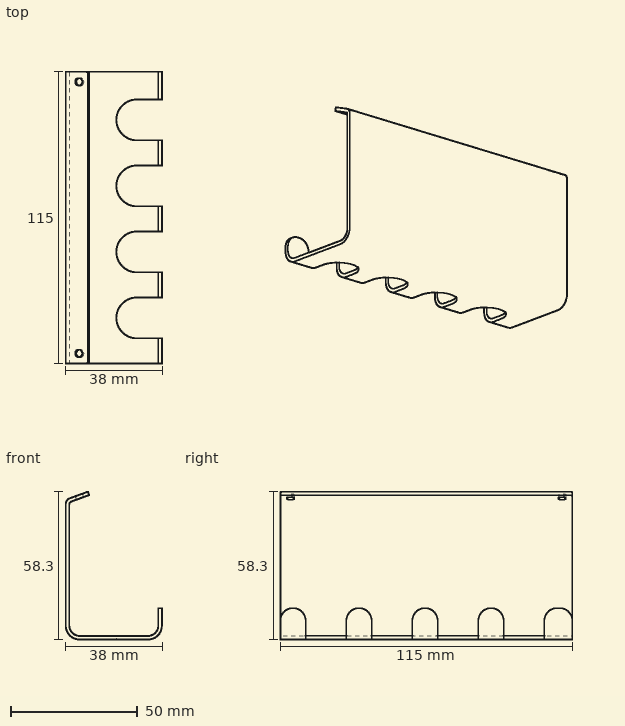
import cadquery as cq
import math

depth = 38.0
length = 115.0
height = 58.3
sheet = 1.5

floor_bend = 5.5
flange_bend = 2.5
flange_tilt = 20.0
flange_length = 7.6
flange_corner = 1.0

hook_height = 12.4
hook_width = 10.0
slot_width = 16.0
slot_count = 4
slot_start = 20.0

hole_diameter = 3.0
hole_from_bend = 3.7
hole_end_distance = 4.0

front_end = -length / 2
rear_end = length / 2
slot_pitch = slot_width + hook_width
first_slot = front_end + hook_width + slot_width / 2
slot_centers = [first_slot + i * slot_pitch for i in range(slot_count)]

tilt = math.radians(flange_tilt)
along = (math.cos(tilt), math.sin(tilt))
normal = (-math.sin(tilt), math.cos(tilt))
bend_x = flange_bend
bend_z = height - flange_bend * normal[1] - flange_length * along[1]


def flange_point(distance, radius):
    """XZ point along the flange, at a radius from the bend center."""
    return (
        bend_x + distance * along[0] + radius * normal[0],
        bend_z + distance * along[1] + radius * normal[1],
    )


def bend_middle(radius):
    """XZ point halfway around the flange bend."""
    middle = (math.pi + math.pi / 2 + tilt) / 2
    return bend_x + radius * math.cos(middle), bend_z + radius * math.sin(middle)


def folded_sheet():
    """Constant-thickness profile: hook, floor, wall and tilted flange."""
    inner_floor = floor_bend - sheet
    inner_flange = flange_bend - sheet
    diagonal = math.sqrt(0.5)
    left = floor_bend
    right = depth - floor_bend
    outer_reach = floor_bend * diagonal
    inner_reach = inner_floor * diagonal
    profile = (
        cq.Workplane("XZ", origin=(0, rear_end, 0))
        .moveTo(depth, hook_height)
        .lineTo(depth, floor_bend)
        .threePointArc((right + outer_reach, floor_bend - outer_reach), (right, 0))
        .lineTo(left, 0)
        .threePointArc((left - outer_reach, floor_bend - outer_reach), (0, floor_bend))
        .lineTo(0, bend_z)
        .threePointArc(bend_middle(flange_bend), flange_point(0, flange_bend))
        .lineTo(*flange_point(flange_length, flange_bend))
        .lineTo(*flange_point(flange_length, inner_flange))
        .lineTo(*flange_point(0, inner_flange))
        .threePointArc(bend_middle(inner_flange), (sheet, bend_z))
        .lineTo(sheet, floor_bend)
        .threePointArc((left - inner_reach, floor_bend - inner_reach), (left, sheet))
        .lineTo(right, sheet)
        .threePointArc((right + inner_reach, floor_bend - inner_reach), (depth - sheet, floor_bend))
        .lineTo(depth - sheet, hook_height)
        .close()
    )
    return profile.extrude(length)


def slot_cutter(center):
    """Round-ended slot through the floor, open at the hook side."""
    radius = slot_width / 2
    arc_center = slot_start + radius
    return (
        cq.Workplane("XY")
        .moveTo(depth, center - radius)
        .lineTo(arc_center, center - radius)
        .threePointArc((slot_start, center), (arc_center, center + radius))
        .lineTo(depth, center + radius)
        .close()
        .extrude(hook_height)
    )


def hook_corner_cutter(corner, inward):
    """Waste outside a rounded top corner; inward is the Y direction into the hook."""
    radius = hook_width / 2
    arc_base = hook_height - radius
    reach = radius * math.sqrt(0.5)
    arc_middle = (corner + inward * (radius - reach), arc_base + reach)
    return (
        cq.Workplane("YZ", origin=(depth - sheet, 0, 0))
        .moveTo(corner, arc_base)
        .threePointArc(arc_middle, (corner + inward * radius, hook_height))
        .lineTo(corner, hook_height)
        .close()
        .extrude(sheet)
    )


def flange_hole(y):
    """Drill square to the tilted flange and passing fully through it."""
    x, z = flange_point(hole_from_bend, 0)
    direction = cq.Vector(normal[0], 0, normal[1])
    return cq.Solid.makeCylinder(hole_diameter / 2, 2 * flange_bend, cq.Vector(x, y, z), direction)


def round_flange_corners(body):
    """Round both free corners of the top flange."""
    tip_x, tip_z = flange_point(flange_length, flange_bend - sheet / 2)
    tip_edges = [
        body.edges(cq.selectors.NearestToPointSelector((tip_x, y, tip_z))).val()
        for y in (front_end, rear_end)
    ]
    return body.newObject(tip_edges).fillet(flange_corner)


result = round_flange_corners(folded_sheet())

for slot_center in slot_centers:
    result = result.cut(slot_cutter(slot_center))

hook_starts = [front_end] + [center + slot_width / 2 for center in slot_centers]
hook_ends = [center - slot_width / 2 for center in slot_centers] + [rear_end]
for hook_start, hook_end in zip(hook_starts, hook_ends):
    result = result.cut(hook_corner_cutter(hook_start, 1))
    result = result.cut(hook_corner_cutter(hook_end, -1))

for hole_y in (front_end + hole_end_distance, rear_end - hole_end_distance):
    result = result.cut(flange_hole(hole_y))